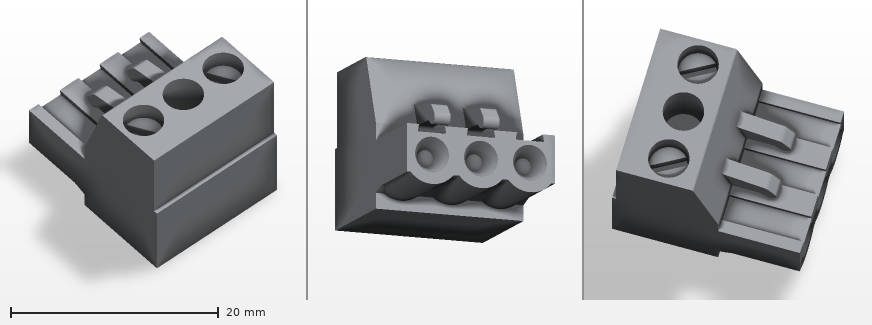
import cadquery as cq
import math


LENGTH = 18.85
WIDTH = 15.29
HEIGHT = 15.5
POLES = 3
PITCH = 5.07
POLE_YS = [PITCH * (i - (POLES - 1) / 2) for i in range(POLES)]
LATCH_YS = [PITCH * (i - (POLES - 2) / 2) for i in range(POLES - 1)]
OVERLAP = 0.19

WALL_X = 8.2
SLOPE_Z = 8.5
SLOPE_ANGLE = 20.0
SLOPE_RUN = math.tan(math.radians(SLOPE_ANGLE))
TOP_EDGE_RADIUS = 0.3
BACK_STEP = 0.41
BACK_STEP_Z = 8.05

NOSE_TOP_Z = 6.79
NOSE_BOTTOM_Z = 2.02
RAMP_START_X = 6.75
RAMP_END_Z = 1.56
SOCKET_Z = 3.88
BARREL_RADIUS = 2.9
SOCKET_MOUTH_DIAMETER = 3.5
SOCKET_END_DIAMETER = 1.6
SOCKET_DEPTH = 1.8

GROOVE_DEPTH = 0.74
GROOVE_TOP_WIDTH = 2.7
GROOVE_FLOOR_WIDTH = 2.95

WELL_X = 13.9
WELL_DIAMETER = 4.0
WELL_DEPTH = 5.65
SCREW_DIAMETER = 3.8
SCREW_RECESS = 1.81
SLOT_WIDTH = 0.85
SLOT_DEPTH = 1.0
SLOT_ANGLE = 30.0
SCREW_YS = [POLE_YS[0], POLE_YS[-1]]

LATCH_WIDTH = 1.65
TIP_X = 4.28
TIP_Z = 8.55
TIP_RADIUS = 0.66
TIP_ANGLE = 50.0
HOOK_ANGLE = 40.0
ARM_ANGLE = 10.0
KNEE_X = 4.6
KNEE_RADIUS = 0.75
HOOK_RADIUS = 0.5
ROOT_TOP_RADIUS = 0.6
ROOT_BOTTOM_RADIUS = 0.28
ROOT_MARGIN = 0.75


def slope_x(z):
    """X of the leaning front wall at height z."""
    return WALL_X + (z - SLOPE_Z) * SLOPE_RUN


def make_housing():
    outline = [
        (WALL_X, 0),
        (LENGTH, 0),
        (LENGTH, BACK_STEP_Z),
        (LENGTH - BACK_STEP, BACK_STEP_Z),
        (LENGTH - BACK_STEP, HEIGHT),
        (slope_x(HEIGHT), HEIGHT),
        (WALL_X, SLOPE_Z),
    ]
    housing = cq.Workplane("XZ").polyline(outline).close().extrude(WIDTH / 2, both=True)
    top_front_edge = cq.selectors.NearestToPointSelector((slope_x(HEIGHT), 0, HEIGHT))
    return housing.edges(top_front_edge).fillet(TOP_EDGE_RADIUS)


def make_nose():
    outline = [
        (0, NOSE_BOTTOM_Z),
        (RAMP_START_X, NOSE_BOTTOM_Z),
        (WALL_X, RAMP_END_Z),
        (WALL_X + OVERLAP, RAMP_END_Z),
        (WALL_X + OVERLAP, NOSE_TOP_Z),
        (0, NOSE_TOP_Z),
    ]
    nose = cq.Workplane("XZ").polyline(outline).close().extrude(WIDTH / 2, both=True)
    sides = cq.Workplane("XY").box(LENGTH, WIDTH, HEIGHT, centered=(False, True, False))
    for y in POLE_YS:
        barrel = cq.Workplane("YZ").center(y, SOCKET_Z).circle(BARREL_RADIUS).extrude(WALL_X + OVERLAP)
        nose = nose.union(barrel.intersect(sides))
    return nose


def make_groove(y):
    floor_z = NOSE_TOP_Z - GROOVE_DEPTH
    outline = [
        (y - GROOVE_FLOOR_WIDTH / 2, floor_z),
        (y + GROOVE_FLOOR_WIDTH / 2, floor_z),
        (y + GROOVE_TOP_WIDTH / 2, NOSE_TOP_Z),
        (y - GROOVE_TOP_WIDTH / 2, NOSE_TOP_Z),
    ]
    return cq.Workplane("YZ").polyline(outline).close().extrude(WALL_X)


def make_socket(y):
    cone = cq.Solid.makeCone(
        SOCKET_MOUTH_DIAMETER / 2,
        SOCKET_END_DIAMETER / 2,
        SOCKET_DEPTH,
        pnt=cq.Vector(0, y, SOCKET_Z),
        dir=cq.Vector(1, 0, 0),
    )
    return cq.Workplane(cone)


def make_well(y):
    floor = cq.Workplane("XY", origin=(WELL_X, y, HEIGHT - WELL_DEPTH))
    return floor.circle(WELL_DIAMETER / 2).extrude(WELL_DEPTH)


def make_screw(y):
    base = cq.Workplane("XY", origin=(WELL_X, y, HEIGHT - WELL_DEPTH - OVERLAP))
    screw = base.circle(SCREW_DIAMETER / 2).extrude(WELL_DEPTH + OVERLAP - SCREW_RECESS)
    slot = (
        screw.faces(">Z")
        .workplane()
        .transformed(rotate=(0, 0, SLOT_ANGLE))
        .rect(2 * SCREW_DIAMETER, SLOT_WIDTH)
        .extrude(-SLOT_DEPTH, combine=False)
    )
    return screw.cut(slot)


def on_tip(degrees):
    """Point on the round latch tip, measured anticlockwise from +X."""
    angle = math.radians(degrees)
    return (TIP_X + TIP_RADIUS * math.cos(angle), TIP_Z + TIP_RADIUS * math.sin(angle))


def make_latch(y):
    """Hooked arm with a thin root plate that lies inside the front wall."""
    tip_start = on_tip(90 + TIP_ANGLE)
    tip_end = on_tip(270 + HOOK_ANGLE)
    tip_middle = on_tip(180 + (TIP_ANGLE + HOOK_ANGLE) / 2)

    tip_rise = math.tan(math.radians(TIP_ANGLE))
    hook_rise = math.tan(math.radians(HOOK_ANGLE))
    arm_rise = math.tan(math.radians(ARM_ANGLE))
    knee = (KNEE_X, tip_start[1] + (KNEE_X - tip_start[0]) * tip_rise)
    hook = (tip_end[0] + (SLOPE_Z - tip_end[1]) / hook_rise, SLOPE_Z)
    wall_gap = slope_x(knee[1]) - KNEE_X
    root_z = knee[1] + arm_rise * wall_gap / (1 - arm_rise * SLOPE_RUN)
    root_top = (slope_x(root_z), root_z)
    root_bottom = (WALL_X, SLOPE_Z)

    plate_top_z = root_z + ROOT_MARGIN
    plate_bottom_z = SLOPE_Z - ROOT_MARGIN
    plate_back_x = slope_x(plate_top_z) + OVERLAP

    latch = (
        cq.Workplane("XZ", origin=(0, y, 0))
        .moveTo(*tip_start)
        .threePointArc(tip_middle, tip_end)
        .lineTo(*hook)
        .lineTo(*root_bottom)
        .lineTo(WALL_X, plate_bottom_z)
        .lineTo(plate_back_x, plate_bottom_z)
        .lineTo(plate_back_x, plate_top_z)
        .lineTo(slope_x(plate_top_z), plate_top_z)
        .lineTo(*root_top)
        .lineTo(*knee)
        .close()
        .extrude(LATCH_WIDTH / 2, both=True)
    )
    corners = [
        (hook, HOOK_RADIUS),
        (root_bottom, ROOT_BOTTOM_RADIUS),
        (root_top, ROOT_TOP_RADIUS),
        (knee, KNEE_RADIUS),
    ]
    for (x, z), radius in corners:
        corner_edge = cq.selectors.NearestToPointSelector((x, y, z))
        latch = latch.edges("|Y").edges(corner_edge).fillet(radius)
    return latch


result = make_housing().union(make_nose())
for pole_y in POLE_YS:
    result = result.cut(make_groove(pole_y))
    result = result.cut(make_socket(pole_y))
    result = result.cut(make_well(pole_y))
for screw_y in SCREW_YS:
    result = result.union(make_screw(screw_y))
for latch_y in LATCH_YS:
    result = result.union(make_latch(latch_y))